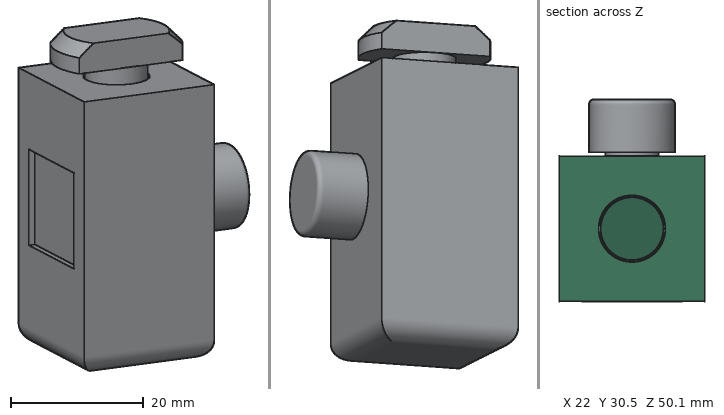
import cadquery as cq


housing_width = 22.0
housing_height = 43.0
bottom_fillet = 3.0
window_size = 15.0
window_depth = 1.0
window_center_z = 23.55

total_height = 50.1
head_diameter = 20.0
head_width = 9.75
head_height = 4.5
head_chamfer = 2.0
stem_diameter = 9.5
stem_hole_diameter = 10.0
stem_insertion = 5.0

screw_head_diameter = 13.05
screw_head_length = 8.0
screw_head_gap = 0.5
screw_head_fillet = 0.8
screw_shank_diameter = 8.1
screw_insertion = 5.0

back_y = housing_width / 2
front_y = -housing_width / 2
stem_bottom_z = housing_height - stem_insertion
head_bottom_z = total_height - head_height


def cylinder_z(diameter, bottom_z, height):
    """Upright cylinder on the housing axis."""
    return cq.Workplane("XY").workplane(offset=bottom_z).circle(diameter / 2).extrude(height)


def cylinder_y(diameter, start_y, length):
    """Cylinder along +Y at the screw height."""
    base = cq.Workplane("XZ", origin=(0, start_y, window_center_z))
    return base.circle(diameter / 2).extrude(-length)


def make_housing():
    """Square block with rounded underside, window recess and two blind holes."""
    block = cq.Workplane("XY").rect(housing_width, housing_width).extrude(housing_height)
    block = block.faces("<Z").edges().fillet(bottom_fillet)
    window = (
        cq.Workplane("XZ", origin=(0, front_y, window_center_z))
        .rect(window_size, window_size)
        .extrude(-window_depth)
    )
    stem_hole = cylinder_z(stem_hole_diameter, stem_bottom_z, stem_insertion)
    screw_hole = cylinder_y(screw_shank_diameter, back_y - screw_insertion, screw_insertion)
    return block.cut(window).cut(stem_hole).cut(screw_hole)


def make_t_stud():
    """Round stem under a chamfered disc with two flat sides; it rests on the hole floor."""
    disc = cylinder_z(head_diameter, head_bottom_z, head_height)
    disc = disc.faces(">Z").edges().chamfer(head_chamfer)
    flat_sides = (
        cq.Workplane("XY")
        .workplane(offset=head_bottom_z)
        .rect(head_width, head_diameter)
        .extrude(head_height)
    )
    stem = cylinder_z(stem_diameter, stem_bottom_z, head_bottom_z - stem_bottom_z)
    return disc.intersect(flat_sides).union(stem)


def make_cap_screw():
    """Cylindrical head held just clear of the back face by the shank."""
    head = cylinder_y(screw_head_diameter, back_y + screw_head_gap, screw_head_length)
    head = head.faces(">Y").edges().fillet(screw_head_fillet)
    shank = cylinder_y(screw_shank_diameter, back_y - screw_insertion, screw_insertion + screw_head_gap)
    return head.union(shank)


housing = make_housing()
t_stud = make_t_stud()
cap_screw = make_cap_screw()

result = cq.Compound.makeCompound([housing.val(), t_stud.val(), cap_screw.val()])